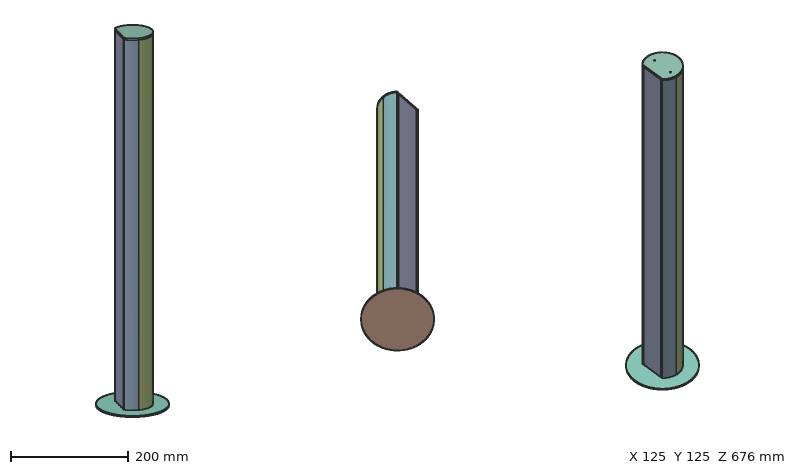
import cadquery as cq
import math

total_height = 676.0
base_diameter = 125.0
base_thickness = 3.0
cap_thickness = 3.5
column_height = total_height - base_thickness - cap_thickness
cap_bottom = base_thickness + column_height

column_radius = 35.0
flat_distance = 23.5
half_chord = math.sqrt(column_radius**2 - flat_distance**2)

panel_width = 43.0
strip_width = 2.0
recess_depth = 3.0
recess_width = panel_width + 2 * strip_width
strip_offset = (panel_width + strip_width) / 2

pin_diameter = 3.5
pin_length = 1.5
pin_spacing = 41.0


def flat_sided_cylinder(height, bottom):
    """Upright cylinder on the Z axis, cut off at the flat side."""
    return (
        cq.Workplane("XY", origin=(0, 0, bottom))
        .moveTo(-half_chord, -flat_distance)
        .threePointArc((0, column_radius), (half_chord, -flat_distance))
        .close()
        .extrude(height)
    )


def flat_side_slab(width, x_center):
    """Slab along the whole column, flush with the flat side and as deep as the recess."""
    return (
        cq.Workplane("XY", origin=(0, 0, base_thickness))
        .center(x_center, -flat_distance + recess_depth / 2)
        .rect(width, recess_depth)
        .extrude(column_height)
    )


def rear_half_space():
    """Block that covers the column on the +Y side of the seam at y = 0."""
    return (
        cq.Workplane("XY", origin=(0, 0, base_thickness))
        .center(0, column_radius)
        .rect(4 * column_radius, 2 * column_radius)
        .extrude(column_height)
    )


def make_base():
    return cq.Workplane("XY").circle(base_diameter / 2).extrude(base_thickness)


def make_rear_housing():
    return flat_sided_cylinder(column_height, base_thickness).intersect(rear_half_space())


def make_front_housing():
    front = flat_sided_cylinder(column_height, base_thickness).cut(rear_half_space())
    return front.cut(flat_side_slab(recess_width, 0))


def make_panel():
    return flat_side_slab(panel_width, 0)


def make_edge_strip(side):
    return flat_side_slab(strip_width, side * strip_offset)


def make_pin(side):
    return (
        cq.Workplane("XY", origin=(side * pin_spacing / 2, 0, cap_bottom))
        .circle(pin_diameter / 2)
        .extrude(pin_length)
    )


def make_cap(pins):
    cap = flat_sided_cylinder(cap_thickness, cap_bottom)
    for pin in pins:
        cap = cap.cut(pin)
    return cap


sides = (-1, 1)

base = make_base()
rear_housing = make_rear_housing()
front_housing = make_front_housing()
panel = make_panel()
edge_strips = [make_edge_strip(side) for side in sides]
pins = [make_pin(side) for side in sides]
cap = make_cap(pins)

result = cq.Compound.makeCompound(
    [
        base.val(),
        rear_housing.val(),
        front_housing.val(),
        panel.val(),
        *[strip.val() for strip in edge_strips],
        *[pin.val() for pin in pins],
        cap.val(),
    ]
)